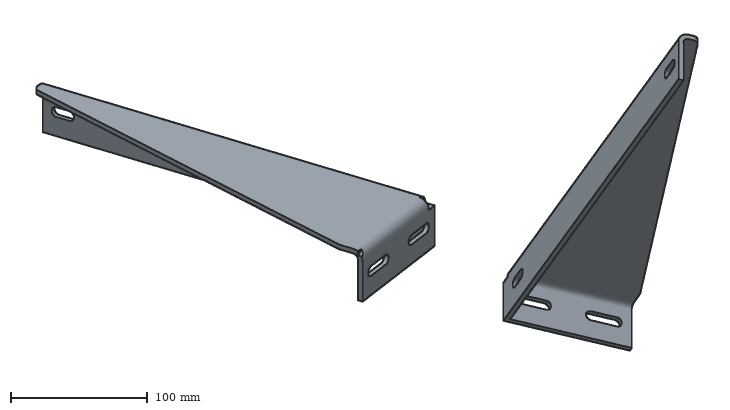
import cadquery as cq
import math

length = 335.0
depth = 100.0
height = 42.0

thickness = 4.0
inner_bend_radius = 4.0
bend_size = thickness + inner_bend_radius

taper_angle = math.radians(15)
front_edge_end = 20.0
tip_radius = 5.7
shoulder_radius = 11.5

notch_radius = 4.5

slot_height = 8.0
slot_level = -21.8
back_slot_length = 19.0
back_slot_left_margin = 7.7
back_slot_right_margin = 18.0
side_slot_length = 28.0
side_slot_margin = 8.0


def top_plate():
    """Flat tapered sheet, with rounded corners at both ends of the taper."""
    tip_y = -depth + (length - front_edge_end) * math.tan(taper_angle)
    plate = (
        cq.Workplane("XY")
        .polyline([
            (-length, -bend_size),
            (-length, tip_y),
            (-front_edge_end, -depth),
            (-bend_size, -depth),
            (-bend_size, -bend_size),
        ])
        .close()
        .extrude(-thickness)
    )
    plate = plate.edges(cq.NearestToPointSelector((-length, tip_y, -thickness / 2))).fillet(tip_radius)
    shoulder = cq.NearestToPointSelector((-front_edge_end, -depth, -thickness / 2))
    return plate.edges(shoulder).fillet(shoulder_radius)


def bend(plane, run):
    """Quarter-round bend from the top plate to a flange, extruded along the fold."""
    diagonal = math.sqrt(0.5)
    outer_mid = bend_size * (diagonal - 1)
    inner_mid = inner_bend_radius * diagonal - bend_size
    return (
        cq.Workplane(plane)
        .moveTo(-bend_size, 0)
        .threePointArc((outer_mid, outer_mid), (0, -bend_size))
        .lineTo(-thickness, -bend_size)
        .threePointArc((inner_mid, inner_mid), (-bend_size, -thickness))
        .close()
        .extrude(run)
    )


def flange(size_x, size_y):
    """Upright wall below the bends, reaching the back right corner."""
    wall = cq.Workplane("XY").box(size_x, size_y, height - bend_size, centered=False)
    return wall.translate((-size_x, -size_y, -height))


def slots(plane, slot_length, centers):
    """Round-ended cutters that pass through a flange."""
    return (
        cq.Workplane(plane)
        .pushPoints([(center, slot_level) for center in centers])
        .slot2D(slot_length, slot_height)
        .extrude(thickness)
    )


def front_notch():
    """Cutter along X that hollows the outer part of the side bend at its front end."""
    axis_start = (-thickness, -depth, 0)
    return cq.Workplane("YZ", origin=axis_start).circle(notch_radius).extrude(thickness)


back_bend_plane = cq.Plane(origin=(-length, 0, 0), xDir=(0, 1, 0), normal=(1, 0, 0))
side_bend_plane = cq.Plane(origin=(0, -bend_size, 0), xDir=(1, 0, 0), normal=(0, -1, 0))

result = (
    top_plate()
    .union(bend(back_bend_plane, length - bend_size))
    .union(bend(side_bend_plane, depth - bend_size))
    .union(flange(length, thickness))
    .union(flange(thickness, depth))
)

back_slot_centers = [
    -length + back_slot_left_margin + back_slot_length / 2,
    -back_slot_right_margin - back_slot_length / 2,
]
side_slot_centers = [
    -side_slot_margin - side_slot_length / 2,
    -depth + side_slot_margin + side_slot_length / 2,
]
side_slot_plane = cq.Plane(origin=(-thickness, 0, 0), xDir=(0, 1, 0), normal=(1, 0, 0))

result = result.cut(slots("XZ", back_slot_length, back_slot_centers))
result = result.cut(slots(side_slot_plane, side_slot_length, side_slot_centers))
result = result.cut(front_notch())